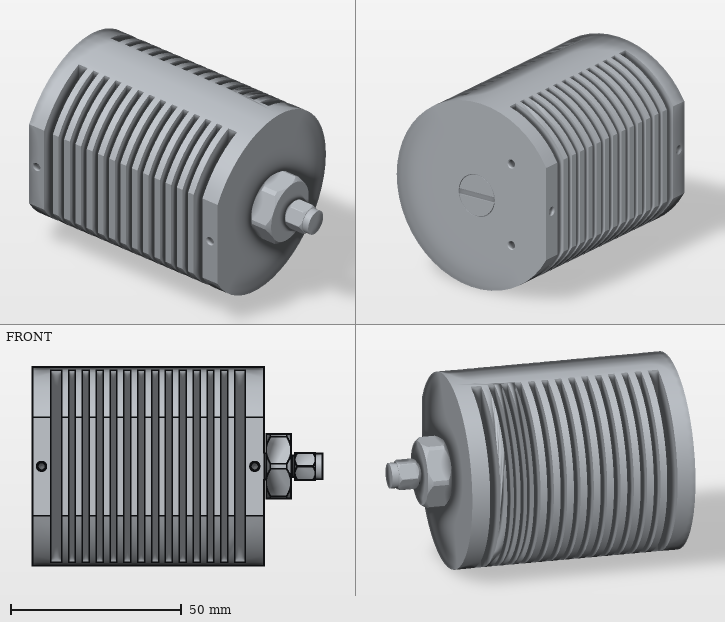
import cadquery as cq
import math


body_length = 67.9
body_diameter = 58.4
flat_distance = 25.35
flange_thickness = 5.45
core_half_thickness = 7.9
fin_count = 13
fin_thickness = 2.0
end_slot_width = 3.15

hole_diameter = 2.3
hole_mouth_diameter = 2.8
mouth_depth = (hole_mouth_diameter - hole_diameter) / 2
drill_depth = 4.25
drill_point_angle = 118.0
face_hole_y = -12.6
face_hole_z = 12.8

plug_diameter = 12.7
plug_bore_diameter = 13.2
plug_recess_depth = 0.5
plug_slot_width = 1.8

large_nut_start = 68.5
large_nut_end = 75.8
washer_start = 76.2
small_nut_start = 76.9
small_nut_end = 83.0
connector_end = 85.1
collar_diameter = 7.75
neck_diameter = 4.25
washer_diameter = 6.4
barrel_diameter = 7.6
large_nut_flats = 19.0
large_nut_corners = 21.1
large_nut_chamfer = 1.3
small_nut_flats = 8.0
small_nut_corners = 9.1
small_nut_chamfer = 0.7

body_radius = body_diameter / 2


def rod(diameter, start, end):
    """Cylinder on the X axis from start to end."""
    return cq.Workplane("YZ").workplane(offset=start).circle(diameter / 2).extrude(end - start)


def finned_body():
    """Round body with one flat side and slots cut on both sides of a core plate."""
    body = rod(body_diameter, 0, body_length)
    beyond_flat = cq.Workplane("XY").box(
        body_length, body_radius, body_diameter, centered=(False, False, True)
    ).translate((0, -flat_distance - body_radius, 0))
    body = body.cut(beyond_flat)

    fins_start = flange_thickness + end_slot_width
    fins_end = body_length - fins_start
    fin_pitch = (fins_end - fins_start - fin_thickness) / (fin_count - 1)
    slot_start = flange_thickness
    for fin in range(fin_count + 1):
        if fin < fin_count:
            slot_end = fins_start + fin * fin_pitch
        else:
            slot_end = body_length - flange_thickness
        slot = cq.Workplane("XY").box(
            slot_end - slot_start, body_radius, body_diameter, centered=(False, False, True)
        ).translate((slot_start, core_half_thickness, 0))
        body = body.cut(slot).cut(slot.mirror("XZ"))
        slot_start = slot_end + fin_thickness
    return body


def drilled_hole():
    """Blind hole along +Y from the origin, with a chamfered mouth and a conical bottom."""
    radius = hole_diameter / 2
    point_length = radius / math.tan(math.radians(drill_point_angle / 2))
    return (
        cq.Workplane("XY")
        .moveTo(0, 0)
        .lineTo(hole_mouth_diameter / 2, 0)
        .lineTo(radius, mouth_depth)
        .lineTo(radius, drill_depth)
        .lineTo(0, drill_depth + point_length)
        .close()
        .revolve(360, (0, 0, 0), (0, 1, 0))
    )


def flange_hole():
    """Hole along +X from the origin through the flange, with a chamfered mouth."""
    radius = hole_diameter / 2
    return (
        cq.Workplane("XY")
        .moveTo(0, 0)
        .lineTo(0, hole_mouth_diameter / 2)
        .lineTo(mouth_depth, radius)
        .lineTo(flange_thickness, radius)
        .lineTo(flange_thickness, 0)
        .close()
        .revolve(360, (0, 0, 0), (1, 0, 0))
    )


def plug_recess():
    """Ring groove around the plug joined with the screwdriver slot across it."""
    bore = rod(plug_bore_diameter, 0, plug_recess_depth)
    plug = rod(plug_diameter, 0, plug_recess_depth)
    slot = cq.Workplane("XY").box(
        plug_recess_depth, plug_diameter, plug_slot_width, centered=(False, True, True)
    )
    return bore.cut(plug.cut(slot))


def hex_nut(flats, corners, chamfer, start, end):
    """Hexagon with two flats facing +Z and -Z, corners turned round and both ends chamfered."""
    hexagon = (
        cq.Workplane("YZ").workplane(offset=start)
        .polygon(6, flats / math.cos(math.pi / 6)).extrude(end - start)
    )
    end_radius = flats / 2
    corner_radius = corners / 2
    turned_blank = (
        cq.Workplane("XY")
        .moveTo(start, 0)
        .lineTo(start, end_radius)
        .lineTo(start + chamfer, corner_radius)
        .lineTo(end - chamfer, corner_radius)
        .lineTo(end, end_radius)
        .lineTo(end, 0)
        .close()
        .revolve(360, (0, 0, 0), (1, 0, 0))
    )
    return hexagon.intersect(turned_blank)


def connector():
    """Coaxial connector: collar, large nut, neck with washer, small nut and barrel."""
    pieces = [
        hex_nut(large_nut_flats, large_nut_corners, large_nut_chamfer, large_nut_start, large_nut_end),
        rod(neck_diameter, large_nut_end, washer_start),
        rod(washer_diameter, washer_start, small_nut_start),
        hex_nut(small_nut_flats, small_nut_corners, small_nut_chamfer, small_nut_start, small_nut_end),
        rod(barrel_diameter, small_nut_end, connector_end),
    ]
    joined = rod(collar_diameter, body_length, large_nut_start)
    for piece in pieces:
        joined = joined.union(piece)
    return joined


result = finned_body()

for flange_middle in (flange_thickness / 2, body_length - flange_thickness / 2):
    result = result.cut(drilled_hole().translate((flange_middle, -flat_distance, 0)))

for hole_z in (-face_hole_z, face_hole_z):
    result = result.cut(flange_hole().translate((0, face_hole_y, hole_z)))

result = result.cut(plug_recess()).union(connector())